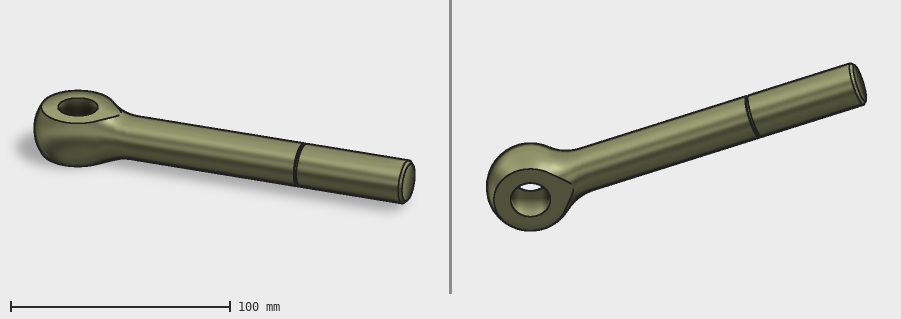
import cadquery as cq
import math

eye_radius = 20.0
eye_width = 22.0
hole_diameter = 18.0
shank_radius = 10.0
shank_end = 160.0
neck_radius = 22.0
thread_length = 52.0
thread_pitch = 2.5
thread_chamfer = 5 / 8 * math.sqrt(3) / 2 * thread_pitch


def turned_body():
    """Sphere, neck blend and shank, revolved about the X axis."""
    neck_centre_y = shank_radius + neck_radius
    centre_distance = eye_radius + neck_radius
    neck_end = math.sqrt(centre_distance**2 - neck_centre_y**2)

    tangent_x = neck_end * eye_radius / centre_distance
    tangent_y = neck_centre_y * eye_radius / centre_distance

    start_angle = math.atan2(-neck_centre_y, -neck_end)
    mid_angle = (start_angle - math.pi / 2) / 2
    neck_mid = (
        neck_end + neck_radius * math.cos(mid_angle),
        neck_centre_y + neck_radius * math.sin(mid_angle),
    )

    thread_start = shank_end - thread_length

    profile = (
        cq.Workplane("XY")
        .moveTo(-eye_radius, 0)
        .threePointArc((0, eye_radius), (tangent_x, tangent_y))
        .threePointArc(neck_mid, (neck_end, shank_radius))
        .lineTo(thread_start, shank_radius)
        .lineTo(thread_start, shank_radius - thread_chamfer)
        .lineTo(thread_start + thread_chamfer, shank_radius)
        .lineTo(shank_end - thread_chamfer, shank_radius)
        .lineTo(shank_end, shank_radius - thread_chamfer)
        .lineTo(shank_end, 0)
        .close()
    )
    return profile.revolve(360, (0, 0, 0), (1, 0, 0))


def eye_slab():
    """Block whose top and bottom faces leave the flat sides of the eye."""
    length = eye_radius + shank_end
    return (
        cq.Workplane("XY")
        .box(length, 2 * eye_radius, eye_width)
        .translate((length / 2 - eye_radius, 0, 0))
    )


def eye_hole():
    """Pin hole through the eye along Z."""
    return cq.Workplane("XY").circle(hole_diameter / 2).extrude(eye_width, both=True)


result = turned_body().intersect(eye_slab()).cut(eye_hole())